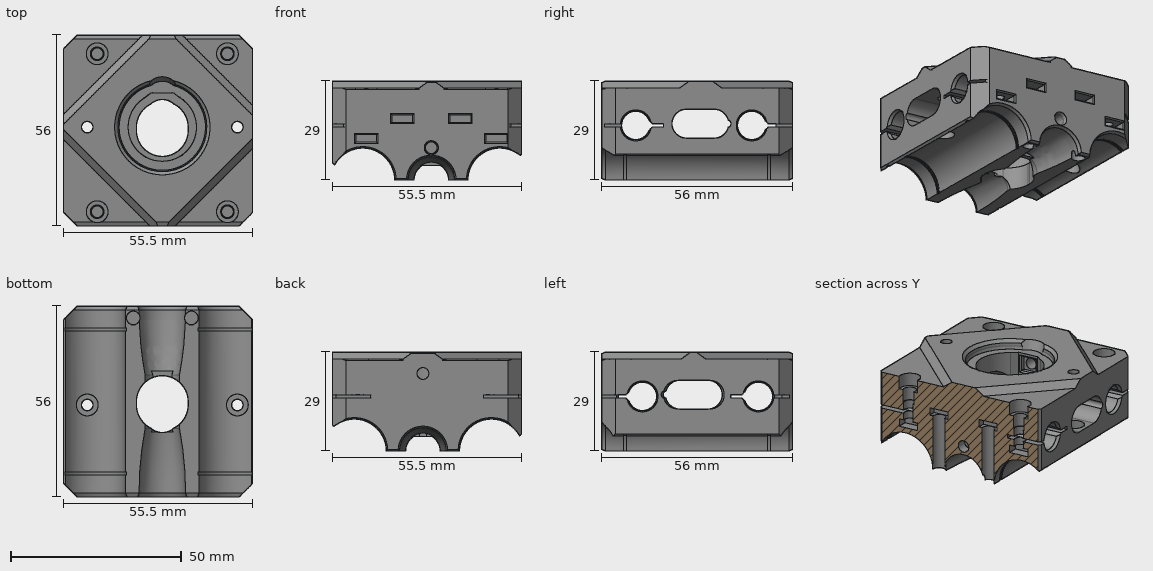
import cadquery as cq
import math

LENGTH_X = 55.5
LENGTH_Y = 56.0
HEIGHT = 29.0
CORNER_CUT = 4.05
HALF_X = LENGTH_X / 2
HALF_Y = LENGTH_Y / 2

AXIS_X = 1.25
AXIS_Y = 1.0

LEDGE_Z = 26.95
DIAMOND_X = 1.3
DIAMOND_Y = 1.05
DIAMOND_HALF = 29.8
DIAMOND_ROOT = 2.25

BEVEL_Z = 0.45
BEVEL_Y = 1.1

SEAT_OFFSET = 20.1
SEAT_RADIUS = 9.35
RING_GROOVE_RADIUS = 9.65
RING_GROOVE_WIDTH = 0.9
RING_GROOVE_Y = 21.1
LEFT_LIP_Z = 5.05
RIGHT_LIP_Z = 7.6
LEFT_LIP_WIDTH = 0.7
RIGHT_LIP_WIDTH = 0.45

THROAT_MOUTH_RADIUS = 6.85
THROAT_RADIUS = 5.05
THROAT_CEILING = 4.2
THROAT_INNER_Y = 7.85
THROAT_BULGE = 0.75

RIM_RADIUS = 14.0
RIM_CHAMFER = 0.95
RECESS_RADIUS = 12.95
RECESS_STEP_DEPTH = 1.85
RECESS_FLOOR_RADIUS = 12.65
RECESS_DEPTH = 2.8
NOTCH_RADIUS = 5.05
NOTCH_OFFSET = 9.75
NOTCH_FLOOR_SHIFT = 1.35
BORE_RADIUS = 10.0
BORE_FLAT_HALF = 3.3
BORE_TANGENT_X = 5.2
BORE_FLOOR_Z = 6.7
OUTLET_RADIUS = 7.55
OUTLET_BUMP_RADIUS = 5.05
OUTLET_BUMP_TOP = 8.05
WINDOW_WIDTH = 5.05
WINDOW_HEIGHT = 4.6
WINDOW_Z = 22.75
WINDOW_CHAMFER = 0.45
WINDOW_DEPTH = 1.7
WINDOW_HOLE_DIAMETER = 3.5

ROD_Z = 16.0
ROD_RADIUS = 4.15
ROD_MOUTH_FLARE = 0.4
ROD_MOUTH_DEPTH = 1.0
REAR_ROD_Y = 16.0
FRONT_ROD_Y = -18.0
ROD_TIP = 5.3
SLIT_HEIGHT = 0.9
REAR_SLIT_REACH = 7.05
FRONT_SLIT_REACH = 8.05
END_SLIT_DEPTH = 11.2
FRONT_SLIT_END_Y = -27.15

SLOT_Z = 16.5
SLOT_RADIUS = 4.2
SLOT_REAR_Y = 5.05
SLOT_FRONT_Y = -3.15
SLOT_LEFT_EXTRA = 0.6
SLOT_GROOVE_RADIUS = 1.05
SLOT_GROOVE_Y = 8.85

SCREW_OFFSET_X = 19.1
SCREW_REAR_Y = 22.5
SCREW_FRONT_Y = -23.8
COUNTERBORE_DIAMETER = 6.4
COUNTERBORE_DEPTH = 3.9
SCREW_DIAMETER = 4.0
SCREW_TIP_DIAMETER = 3.5
SCREW_STEP_Z = 19.05
SCREW_BOTTOM_Z = 11.2

DOWEL_DIAMETER = 3.3
DOWEL_ACCESS_DIAMETER = 6.4
DOWEL_OFFSET = 22.0

NUT_WIDTH = 6.1
NUT_HEIGHT = 2.2
NUT_CHAMFER = 0.4
UPPER_NUT_DEPTH = 5.6
LOWER_NUT_DEPTH = 6.45
UPPER_NUT_OFFSET = 8.5
UPPER_NUT_Z = 18.05
LOWER_NUT_Z = 12.2
BOTTOM_SCREW_Y = -24.5
FRONT_HOLE_DIAMETER = 3.5
FRONT_HOLE_FLARE = 0.35
FRONT_HOLE_FLARE_DEPTH = 1.1
FRONT_HOLE_Z = 9.45
FRONT_HOLE_DEPTH = 6.7


def box(x0, x1, y0, y1, z0, z1):
    return cq.Workplane("XY").box(x1 - x0, y1 - y0, z1 - z0, centered=False).translate((x0, y0, z0))


def tube_z(x, y, radius, z0, z1):
    return cq.Workplane("XY", origin=(x, y, z0)).circle(radius).extrude(z1 - z0)


def revolve_y(x, z, profile):
    """Turn a (radius, y) profile about the Y line through x, z."""
    outline = cq.Workplane("XY").polyline(profile).close()
    return outline.revolve(360, (0, 0, 0), (0, 1, 0)).translate((x, 0, z))


def end_bevels(top_z):
    """Wedges that bevel the front and back edges of a top face."""
    front = (
        cq.Workplane("YZ", origin=(-HALF_X, 0, 0))
        .polyline([(-HALF_Y, top_z - BEVEL_Z), (-HALF_Y, top_z), (BEVEL_Y - HALF_Y, top_z)])
        .close()
        .extrude(LENGTH_X)
    )
    return front.union(front.mirror("XZ"))


def block(height):
    """Rectangular block with cut vertical corners."""
    prism = cq.Workplane("XY").rect(LENGTH_X, LENGTH_Y).extrude(height)
    return prism.edges("|Z").chamfer(CORNER_CUT)


def diamond():
    """Raised diamond with 45 degree flanks, trimmed to the block."""
    rise = HEIGHT - LEDGE_Z
    side = DIAMOND_HALF * math.sqrt(2)
    root = cq.Workplane("XY").rect(side + 2 * rise, side + 2 * rise)
    post = root.extrude(DIAMOND_ROOT)
    flanks = post.faces(">Z").workplane().rect(side + 2 * rise, side + 2 * rise)
    flanks = flanks.workplane(offset=rise).rect(side, side).loft(ruled=True)
    turned = flanks.rotate((0, 0, 0), (0, 0, 1), 45)
    placed = turned.translate((DIAMOND_X, DIAMOND_Y, LEDGE_Z - DIAMOND_ROOT))
    return placed.intersect(block(HEIGHT)).cut(end_bevels(HEIGHT))


def body():
    bottom_bevels = end_bevels(0).mirror("XY")
    return block(LEDGE_Z).cut(end_bevels(LEDGE_Z)).union(diamond()).cut(bottom_bevels)


def bearing_seat(x):
    """Half-round seat with flared ends and a retaining ring groove near each end."""
    flared = SEAT_RADIUS + BEVEL_Z
    inner_y = HALF_Y - BEVEL_Y
    seat = revolve_y(x, 0, [
        (0, -HALF_Y), (flared, -HALF_Y), (SEAT_RADIUS, -inner_y),
        (SEAT_RADIUS, inner_y), (flared, HALF_Y), (0, HALF_Y),
    ])
    for side in (-1, 1):
        middle = side * RING_GROOVE_Y
        near = middle - RING_GROOVE_WIDTH / 2
        far = middle + RING_GROOVE_WIDTH / 2
        groove = revolve_y(x, 0, [(0, near), (RING_GROOVE_RADIUS, near), (RING_GROOVE_RADIUS, far), (0, far)])
        seat = seat.union(groove)
    return seat


def seat_lip(side, lip_z, width):
    """45 degree bevel on the lower edge of a side face."""
    outer = side * HALF_X
    inner = outer - side * width
    return (
        cq.Workplane("XZ", origin=(0, HALF_Y, 0))
        .polyline([(outer, 0), (outer, lip_z), (inner, lip_z - width), (inner, 0)])
        .close()
        .extrude(LENGTH_Y)
    )


def throat():
    """Half-round passage that narrows from both ends, with a flat ceiling in the narrow part."""
    inner_y = HALF_Y - BEVEL_Y
    middle_y = (inner_y + THROAT_INNER_Y) / 2
    middle_radius = THROAT_RADIUS + (THROAT_MOUTH_RADIUS - THROAT_RADIUS) * THROAT_BULGE
    passage = (
        cq.Workplane("XY")
        .moveTo(0, -HALF_Y)
        .lineTo(THROAT_MOUTH_RADIUS + BEVEL_Z, -HALF_Y)
        .lineTo(THROAT_MOUTH_RADIUS, -inner_y)
        .spline([(middle_radius, -middle_y), (THROAT_RADIUS, -THROAT_INNER_Y)], includeCurrent=True)
        .lineTo(THROAT_RADIUS, THROAT_INNER_Y)
        .spline([(middle_radius, middle_y), (THROAT_MOUTH_RADIUS, inner_y)], includeCurrent=True)
        .lineTo(THROAT_MOUTH_RADIUS + BEVEL_Z, HALF_Y)
        .lineTo(0, HALF_Y)
        .close()
        .revolve(360, (0, 0, 0), (0, 1, 0))
    )
    ceiling_y = THROAT_INNER_Y + BEVEL_Y
    ceiling = box(-HALF_X, HALF_X, -ceiling_y, ceiling_y, THROAT_CEILING, HEIGHT)
    return passage.cut(ceiling).translate((AXIS_X, 0, 0))


def recess():
    """Shallow round recess with a chamfered rim and a slanted notch at its back."""
    floor_z = HEIGHT - RECESS_DEPTH
    profile = [
        (0, floor_z), (RECESS_FLOOR_RADIUS, floor_z), (RECESS_RADIUS, HEIGHT - RECESS_STEP_DEPTH),
        (RIM_RADIUS - RIM_CHAMFER, HEIGHT - RIM_CHAMFER), (RIM_RADIUS, HEIGHT), (0, HEIGHT),
    ]
    bowl = cq.Workplane("XZ").polyline(profile).close().revolve(360, (0, 0, 0), (0, 1, 0))
    notch = (
        cq.Workplane("XY", origin=(0, NOTCH_OFFSET - NOTCH_FLOOR_SHIFT, floor_z))
        .circle(NOTCH_RADIUS)
        .workplane(offset=RECESS_DEPTH)
        .center(0, NOTCH_FLOOR_SHIFT)
        .circle(NOTCH_RADIUS)
        .loft()
    )
    return bowl.union(notch).translate((AXIS_X, AXIS_Y, 0))


def bore():
    """Bore with a flattened back wall and a narrower outlet through the floor."""
    tangent_y = math.sqrt(BORE_RADIUS**2 - BORE_TANGENT_X**2)
    well = (
        cq.Workplane("XY", origin=(AXIS_X, AXIS_Y, BORE_FLOOR_Z))
        .moveTo(BORE_TANGENT_X, tangent_y)
        .lineTo(BORE_FLAT_HALF, BORE_RADIUS)
        .lineTo(-BORE_FLAT_HALF, BORE_RADIUS)
        .lineTo(-BORE_TANGENT_X, tangent_y)
        .threePointArc((0, -BORE_RADIUS), (BORE_TANGENT_X, tangent_y))
        .close()
        .extrude(HEIGHT - BORE_FLOOR_Z)
    )
    outlet = tube_z(AXIS_X, AXIS_Y, OUTLET_RADIUS, 0, HEIGHT - RECESS_DEPTH)
    outlet = outlet.union(tube_z(AXIS_X, 0, OUTLET_RADIUS, 0, BORE_FLOOR_Z))
    outlet = outlet.union(
        box(AXIS_X - OUTLET_RADIUS, AXIS_X + OUTLET_RADIUS, 0, AXIS_Y, 0, BORE_FLOOR_Z)
    )
    bump_y = AXIS_Y + OUTLET_BUMP_TOP - OUTLET_BUMP_RADIUS
    outlet = outlet.union(tube_z(AXIS_X, bump_y, OUTLET_BUMP_RADIUS, 0, BORE_FLOOR_Z))
    return well.union(outlet)


def rear_window():
    """Chamfered square pocket in the flat wall of the bore, with a screw hole to the rear face."""
    wall_y = AXIS_Y + BORE_RADIUS
    rim_y = wall_y + WINDOW_CHAMFER
    pocket = cq.Workplane("XZ", origin=(AXIS_X, wall_y, WINDOW_Z)).rect(WINDOW_WIDTH, WINDOW_HEIGHT)
    pocket = pocket.extrude(-WINDOW_DEPTH)
    rim = (
        cq.Workplane("XZ", origin=(AXIS_X, rim_y, WINDOW_Z))
        .rect(WINDOW_WIDTH, WINDOW_HEIGHT)
        .workplane(offset=WINDOW_CHAMFER)
        .rect(WINDOW_WIDTH + 2 * WINDOW_CHAMFER, WINDOW_HEIGHT + 2 * WINDOW_CHAMFER)
        .loft(ruled=True)
    )
    screw = cq.Workplane("XZ", origin=(AXIS_X, wall_y, WINDOW_Z)).circle(WINDOW_HOLE_DIAMETER / 2)
    return pocket.union(rim).union(screw.extrude(wall_y - HALF_Y))


def rod_hole(y):
    """Hole along X with chamfered mouths and a pointed back that meets its slit."""
    hole = cq.Workplane("YZ", origin=(-HALF_X, y, ROD_Z)).circle(ROD_RADIUS).extrude(LENGTH_X)
    mouth = (
        cq.Workplane("YZ", origin=(-HALF_X, y, ROD_Z))
        .circle(ROD_RADIUS + ROD_MOUTH_FLARE)
        .workplane(offset=ROD_MOUTH_DEPTH)
        .circle(ROD_RADIUS)
        .loft(ruled=True)
    )
    point = (
        cq.Workplane("YZ", origin=(-HALF_X, y, ROD_Z))
        .polyline([(ROD_TIP, 0), (ROD_TIP / 2, ROD_TIP / 2), (0, 0), (ROD_TIP / 2, -ROD_TIP / 2)])
        .close()
        .extrude(LENGTH_X)
    )
    return hole.union(mouth).union(mouth.mirror("YZ")).union(point)


def slit(x0, x1, y0, y1):
    return box(x0, x1, y0, y1, ROD_Z - SLIT_HEIGHT / 2, ROD_Z + SLIT_HEIGHT / 2)


def slits():
    """A full-length slit behind each rod and short clamping slits from the side faces."""
    cuts = slit(-HALF_X, HALF_X, REAR_ROD_Y, REAR_ROD_Y + REAR_SLIT_REACH)
    cuts = cuts.union(slit(-HALF_X, HALF_X, FRONT_ROD_Y, FRONT_ROD_Y + FRONT_SLIT_REACH))
    for side in (-1, 1):
        x0, x1 = sorted((side * HALF_X, side * (HALF_X - END_SLIT_DEPTH)))
        cuts = cuts.union(slit(x0, x1, REAR_ROD_Y, HALF_Y))
        cuts = cuts.union(slit(x0, x1, FRONT_SLIT_END_Y, FRONT_ROD_Y))
    return cuts


def slot_half(x0, x1, lengthen):
    """Stretch of the round-ended slot between two X places, with a small groove along its back."""
    span = SLOT_REAR_Y - SLOT_FRONT_Y + 2 * SLOT_RADIUS + 2 * lengthen
    middle_y = (SLOT_REAR_Y + SLOT_FRONT_Y) / 2
    slot = cq.Workplane("YZ", origin=(x0, middle_y, SLOT_Z)).slot2D(span, 2 * SLOT_RADIUS).extrude(x1 - x0)
    groove = cq.Workplane("YZ", origin=(x0, SLOT_GROOVE_Y + lengthen, SLOT_Z))
    return slot.union(groove.circle(SLOT_GROOVE_RADIUS).extrude(x1 - x0))


def long_slot():
    """Slot along X through the bore, longer on the left side of the bore than on the right."""
    return slot_half(-HALF_X, AXIS_X, SLOT_LEFT_EXTRA).union(slot_half(AXIS_X, HALF_X, 0))


def corner_screw(x, y):
    """Counterbored screw hole that narrows on its way down."""
    hole = tube_z(x, y, COUNTERBORE_DIAMETER / 2, LEDGE_Z - COUNTERBORE_DEPTH, HEIGHT)
    hole = hole.union(tube_z(x, y, SCREW_DIAMETER / 2, SCREW_STEP_Z, HEIGHT))
    return hole.union(tube_z(x, y, SCREW_TIP_DIAMETER / 2, SCREW_BOTTOM_Z, HEIGHT))


def nut_pocket(x, z, depth):
    """Rectangular pocket in the front face with a chamfered mouth."""
    pocket = cq.Workplane("XZ", origin=(x, -HALF_Y, z)).rect(NUT_WIDTH, NUT_HEIGHT).extrude(-depth)
    mouth = (
        cq.Workplane("XZ", origin=(x, -HALF_Y, z))
        .rect(NUT_WIDTH + 2 * NUT_CHAMFER, NUT_HEIGHT + 2 * NUT_CHAMFER)
        .workplane(offset=-NUT_CHAMFER)
        .rect(NUT_WIDTH, NUT_HEIGHT)
        .loft(ruled=True)
    )
    return pocket.union(mouth)


def front_hole():
    """Blind screw hole in the front face with a flared mouth."""
    radius = FRONT_HOLE_DIAMETER / 2
    return revolve_y(AXIS_X, FRONT_HOLE_Z, [
        (0, -HALF_Y),
        (radius + FRONT_HOLE_FLARE, -HALF_Y),
        (radius, FRONT_HOLE_FLARE_DEPTH - HALF_Y),
        (radius, FRONT_HOLE_DEPTH - HALF_Y),
        (0, FRONT_HOLE_DEPTH - HALF_Y),
    ])


result = body()
result = result.cut(seat_lip(-1, LEFT_LIP_Z, LEFT_LIP_WIDTH)).cut(seat_lip(1, RIGHT_LIP_Z, RIGHT_LIP_WIDTH))
result = result.cut(throat()).cut(recess()).cut(bore()).cut(rear_window())
result = result.cut(long_slot()).cut(slits()).cut(front_hole())
for rod_y in (REAR_ROD_Y, FRONT_ROD_Y):
    result = result.cut(rod_hole(rod_y))
for side in (-1, 1):
    result = result.cut(bearing_seat(AXIS_X + side * SEAT_OFFSET))
    result = result.cut(tube_z(AXIS_X + side * DOWEL_OFFSET, AXIS_Y, DOWEL_DIAMETER / 2, 0, HEIGHT))
    result = result.cut(tube_z(AXIS_X + side * DOWEL_OFFSET, AXIS_Y, DOWEL_ACCESS_DIAMETER / 2, 0, SLOT_Z))
    result = result.cut(
        tube_z(AXIS_X + side * UPPER_NUT_OFFSET, BOTTOM_SCREW_Y, SCREW_DIAMETER / 2, 0, UPPER_NUT_Z)
    )
    result = result.cut(nut_pocket(AXIS_X + side * UPPER_NUT_OFFSET, UPPER_NUT_Z, UPPER_NUT_DEPTH))
    result = result.cut(nut_pocket(AXIS_X + side * SCREW_OFFSET_X, LOWER_NUT_Z, LOWER_NUT_DEPTH))
    for screw_y in (SCREW_REAR_Y, SCREW_FRONT_Y):
        result = result.cut(corner_screw(AXIS_X + side * SCREW_OFFSET_X, screw_y))